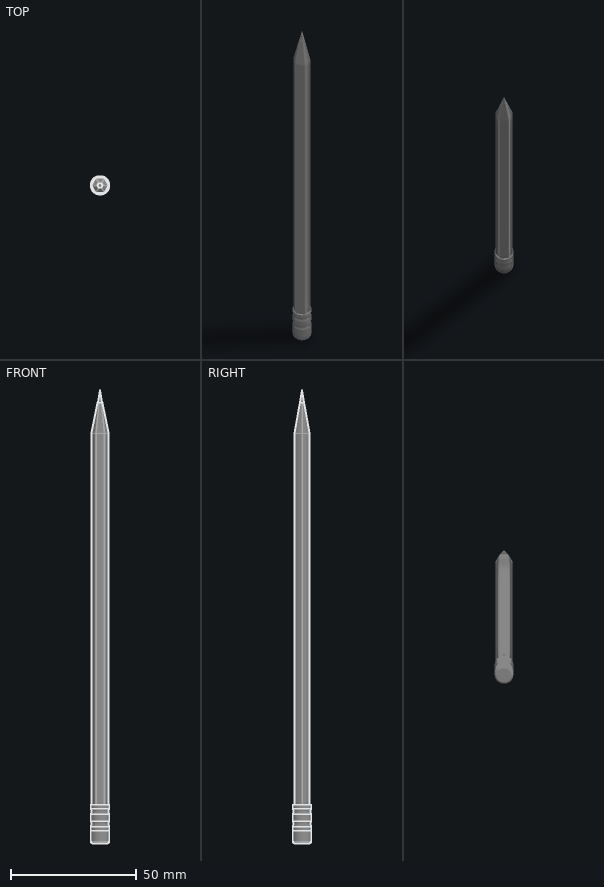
import cadquery as cq
import math

total_length = 181.0
end_diameter = 7.44

eraser_length = 5.2
eraser_rounding = 1.0

ferrule_length = 10.3
groove_diameter = 6.93
groove_width = 2.2
groove_inset = 1.6

across_flats = 6.1
corner_radius = 0.3
point_length = 17.2
lead_length = 5.1

end_radius = end_diameter / 2
barrel_bottom = eraser_length + ferrule_length
shoulder_height = total_length - point_length


def make_eraser():
    """Cylinder with a rounded free end."""
    blank = cq.Workplane("XY").circle(end_radius).extrude(eraser_length)
    return blank.faces("<Z").edges().fillet(eraser_rounding)


def make_ferrule():
    """Revolved band whose wall dips inward in an arc at each groove."""
    lower_groove = eraser_length + groove_inset
    upper_groove = barrel_bottom - groove_inset - groove_width
    profile = cq.Workplane("XZ").moveTo(0, eraser_length).lineTo(end_radius, eraser_length)
    for groove_bottom in (lower_groove, upper_groove):
        groove_middle = (groove_diameter / 2, groove_bottom + groove_width / 2)
        groove_top = (end_radius, groove_bottom + groove_width)
        profile = profile.lineTo(end_radius, groove_bottom).threePointArc(groove_middle, groove_top)
    profile = profile.lineTo(end_radius, barrel_bottom).lineTo(0, barrel_bottom).close()
    return profile.revolve(360, (0, 0, 0), (0, 1, 0))


def hexagon_outline(height, flats, rounding):
    """Hexagon with rounded corners, two of them on the X axis."""
    across_corners = flats / math.cos(math.radians(30))
    hexagon = cq.Sketch().regularPolygon(across_corners / 2, 6, angle=30)
    hexagon = hexagon.vertices().fillet(rounding)
    return hexagon.moved(cq.Location(cq.Vector(0, 0, height)))


def make_barrel():
    """Hexagonal bar sharpened to a tapered wood end, with a round lead point at the tip."""
    full_outline = hexagon_outline(0, across_flats, corner_radius)
    bar = (
        cq.Workplane("XY", origin=(0, 0, barrel_bottom))
        .placeSketch(full_outline)
        .extrude(shoulder_height - barrel_bottom)
    )
    tip_share = lead_length / point_length
    lead_diameter = across_flats * tip_share
    wood_length = point_length - lead_length
    tip_outline = hexagon_outline(wood_length, lead_diameter, corner_radius * tip_share)
    tapered_wood = (
        cq.Workplane("XY", origin=(0, 0, shoulder_height))
        .placeSketch(full_outline, tip_outline)
        .loft(ruled=True)
    )
    lead_base = cq.Vector(0, 0, total_length - lead_length)
    lead = cq.Workplane(cq.Solid.makeCone(lead_diameter / 2, 0, lead_length, lead_base))
    return bar.union(tapered_wood).union(lead)


eraser = make_eraser()
ferrule = make_ferrule()
barrel = make_barrel()

result = cq.Compound.makeCompound([eraser.val(), ferrule.val(), barrel.val()])